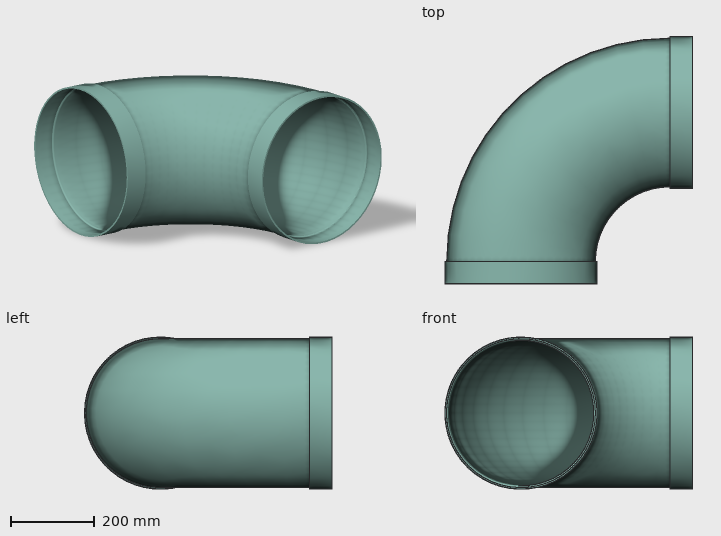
import cadquery as cq

wall = 4.0
pipe_diameter = 355.0
bend_radius = pipe_diameter
bend_angle = 90.0
socket_length = 54.0

pipe_radius = pipe_diameter / 2
bore_radius = pipe_radius - wall
socket_radius = pipe_radius + wall
fillet_radius = pipe_radius - bore_radius

inlet_plane = cq.Plane(origin=(-bend_radius, 0, 0), xDir=(1, 0, 0), normal=(0, -1, 0))
outlet_plane = cq.Plane(origin=(0, bend_radius, 0), xDir=(0, 1, 0), normal=(1, 0, 0))


def make_bend():
    """Hollow quarter turn of pipe from the inlet plane to the outlet plane."""
    return (
        cq.Workplane(inlet_plane)
        .circle(pipe_radius)
        .circle(bore_radius)
        .revolve(bend_angle, (bend_radius, 1, 0), (bend_radius, 0, 0))
    )


def make_socket(end_plane):
    """Straight socket with a concave fillet between its bore and the end of the bend."""
    section_plane = cq.Plane(
        origin=end_plane.origin,
        xDir=end_plane.xDir,
        normal=end_plane.yDir.multiply(-1),
    )
    return (
        cq.Workplane(section_plane)
        .moveTo(bore_radius, 0)
        .lineTo(socket_radius, 0)
        .lineTo(socket_radius, socket_length)
        .lineTo(pipe_radius, socket_length)
        .lineTo(pipe_radius, fillet_radius)
        .radiusArc((bore_radius, 0), -fillet_radius)
        .close()
        .revolve(360, (0, 0), (0, 1))
    )


result = make_bend().union(make_socket(inlet_plane)).union(make_socket(outlet_plane))